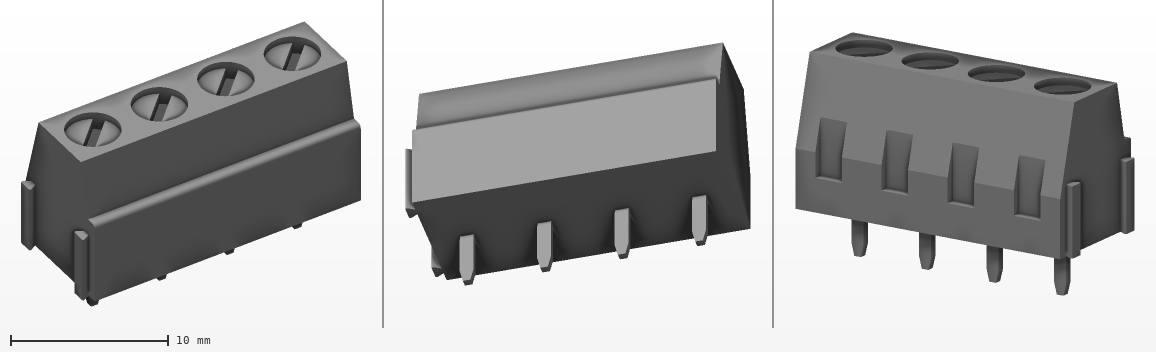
import cadquery as cq
import math


pole_count = 4
pole_pitch = 5.0
pin_pitch = 5.1

housing_length = pole_count * pole_pitch
housing_width = 8.3
housing_height = 10.0
top_width = 5.0
top_start = (housing_width - top_width) / 2
top_end = top_start + top_width
entry_face_height = 4.0
ledge_start = 7.5
ledge_height = 6.0
ledge_edge_radius = 0.3

recess_depth = 0.6
recess_width = 2.0
recess_bottom = 2.3
recess_top = entry_face_height + recess_depth * (housing_height - entry_face_height) / top_start

key_projection = 0.6
key_height = 4.8
key_neck_width = 0.5
key_flare_angle = 30.0
key_edge_radius = 0.1
key_inset = 1.0

screw_diameter = 3.6
screw_hole_diameter = 3.65
screw_x = housing_width / 2
screw_sink = 0.5
screw_length = 3.0
slot_width = 0.8
slot_depth = 0.8
slot_angle = -45.0

pin_thickness = 0.5
pin_width = 0.9
pin_tip_width = 0.5
pin_length = 3.8
pin_tip_length = 0.8
pin_x = 4.1
pin_bend_depth = 0.42
pin_slope_angle = 15.0


def pole_positions(pitch):
    """Y positions of the poles, counted from half a pole behind the front end face."""
    return [pole_pitch / 2 + index * pitch for index in range(pole_count)]


def make_key(center_x):
    """Dovetail rail with rounded outer edges, standing on the front end face."""
    half_neck = key_neck_width / 2
    half_tip = half_neck + key_projection * math.tan(math.radians(key_flare_angle))
    key = (
        cq.Workplane("XY")
        .polyline([
            (center_x - half_neck, 0),
            (center_x - half_tip, -key_projection),
            (center_x + half_tip, -key_projection),
            (center_x + half_neck, 0),
        ])
        .close()
        .extrude(key_height)
    )
    return key.faces("<Y").edges("|Z").fillet(key_edge_radius)


def make_housing():
    """Sloped-wall housing with a rear ledge, entry recesses, screw holes and keys."""
    body = (
        cq.Workplane("XZ")
        .polyline([
            (0, 0),
            (housing_width, 0),
            (housing_width, ledge_height),
            (ledge_start, ledge_height),
            (top_end, housing_height),
            (top_start, housing_height),
            (0, entry_face_height),
        ])
        .close()
        .extrude(-housing_length)
    )
    ledge_edge = cq.selectors.NearestToPointSelector((housing_width, housing_length / 2, ledge_height))
    body = body.edges("|Y").edges(ledge_edge).fillet(ledge_edge_radius)

    for y in pole_positions(pole_pitch):
        recess = (
            cq.Workplane("XY")
            .box(recess_depth, recess_width, recess_top - recess_bottom, centered=(False, True, False))
            .translate((0, y, recess_bottom))
        )
        hole_depth = screw_sink + screw_length
        screw_hole = (
            cq.Workplane("XY")
            .circle(screw_hole_diameter / 2)
            .extrude(hole_depth)
            .translate((screw_x, y, housing_height - hole_depth))
        )
        body = body.cut(recess).cut(screw_hole)

    for key_x in (key_inset, housing_width - key_inset):
        body = body.union(make_key(key_x))
    return body


def make_screw(y):
    """Slotted screw, sunk below the housing top and resting on its hole floor."""
    screw = cq.Workplane("XY").circle(screw_diameter / 2).extrude(screw_length)
    slot = (
        cq.Workplane("XY")
        .box(2 * screw_diameter, slot_width, slot_depth, centered=(True, True, False))
        .rotate((0, 0, 0), (0, 0, 1), slot_angle)
        .translate((0, 0, screw_length - slot_depth))
    )
    floor_height = housing_height - screw_sink - screw_length
    return screw.cut(slot).translate((screw_x, y, floor_height))


def make_pin(y):
    """Bent solder pin with a tapered tip, meeting the housing underside."""
    inner_x = pin_x - pin_thickness / 2
    outer_x = pin_x + pin_thickness / 2
    slope_start = inner_x - pin_bend_depth / math.tan(math.radians(pin_slope_angle))

    bend_angle = math.asin(pin_bend_depth / pin_thickness)
    arc_middle = (
        inner_x + pin_thickness * math.cos(bend_angle / 2),
        -pin_bend_depth + pin_thickness * math.sin(bend_angle / 2),
    )
    arc_end = (inner_x + pin_thickness * math.cos(bend_angle), 0)
    strip = (
        cq.Workplane("XZ")
        .moveTo(slope_start, 0)
        .lineTo(inner_x, -pin_bend_depth)
        .lineTo(inner_x, -pin_length)
        .lineTo(outer_x, -pin_length)
        .lineTo(outer_x, -pin_bend_depth)
        .threePointArc(arc_middle, arc_end)
        .close()
        .extrude(pin_width / 2, both=True)
    )
    taper_start = pin_tip_length - pin_length
    face_outline = (
        cq.Workplane("YZ")
        .polyline([
            (-pin_width / 2, 0),
            (-pin_width / 2, taper_start),
            (-pin_tip_width / 2, -pin_length),
            (pin_tip_width / 2, -pin_length),
            (pin_width / 2, taper_start),
            (pin_width / 2, 0),
        ])
        .close()
        .extrude(housing_width)
    )
    return strip.intersect(face_outline).translate((0, y, 0))


housing = make_housing()
screws = [make_screw(y) for y in pole_positions(pole_pitch)]
pins = [make_pin(y) for y in pole_positions(pin_pitch)]

result = cq.Compound.makeCompound([
    housing.val(),
    *[screw.val() for screw in screws],
    *[pin.val() for pin in pins],
])